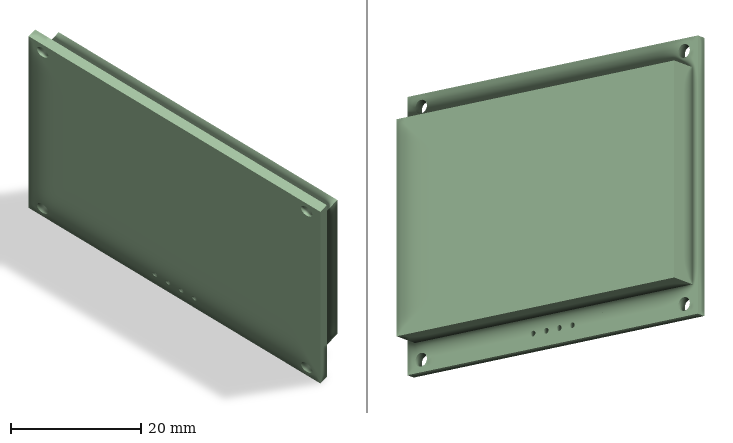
import cadquery as cq

plate_width = 56.0
plate_height = 44.6
plate_thickness = 1.6

total_depth = 6.3
block_width = 53.5
block_height = 34.8
block_left_margin = 1.05
block_depth = total_depth - plate_thickness

mount_hole_diameter = 2.2
mount_spacing_x = 50.7
mount_spacing_z = 40.55

pin_count = 4
pin_pitch = 2.5
pin_hole_diameter = 0.9
pin_edge_distance = 2.4


def make_plate():
    """Plate centred on X and Z, with its front face at Y = 0."""
    return cq.Workplane("XY").box(
        plate_width, plate_thickness, plate_height, centered=(True, False, True)
    )


def make_block():
    """Block behind the plate, centred in height but shifted sideways."""
    left_side = block_left_margin - plate_width / 2
    return (
        cq.Workplane("XY")
        .box(block_width, block_depth, block_height, centered=(False, False, True))
        .translate((left_side, plate_thickness, 0))
    )


def make_mount_holes():
    """Cutters for the four corner holes, running through the plate."""
    return (
        cq.Workplane("XZ")
        .rarray(mount_spacing_x, mount_spacing_z, 2, 2)
        .circle(mount_hole_diameter / 2)
        .extrude(-plate_thickness)
    )


def make_pin_holes():
    """Cutters for the centred row of pin holes, running through the plate."""
    row_height = pin_edge_distance - plate_height / 2
    return (
        cq.Workplane("XZ")
        .center(0, row_height)
        .rarray(pin_pitch, 0.55, pin_count, 1)
        .circle(pin_hole_diameter / 2)
        .extrude(-plate_thickness)
    )


drilled_plate = make_plate().cut(make_mount_holes()).cut(make_pin_holes())
result = drilled_plate.union(make_block())